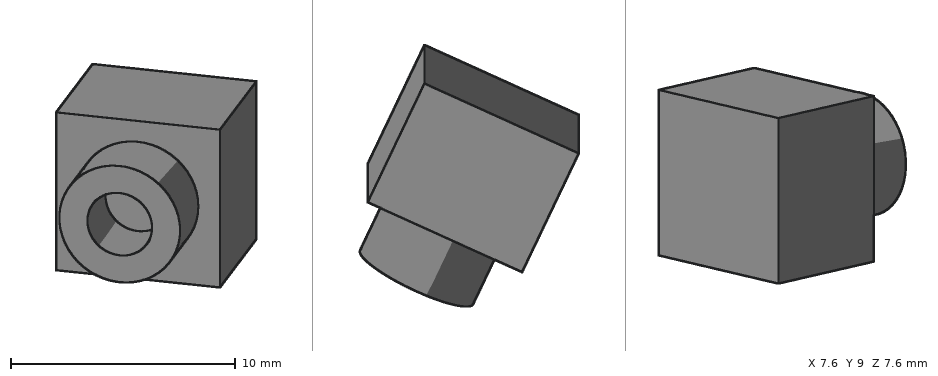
import cadquery as cq

total_length = 9.0
block_side = 7.6
boss_length = 3.0
boss_diameter = 5.6
bore_diameter = 3.0
bore_depth = boss_length

block_length = total_length - boss_length

block = cq.Workplane("XZ").rect(block_side, block_side).extrude(-block_length)

boss = cq.Workplane("XZ").circle(boss_diameter / 2).extrude(boss_length)

bore = (
    cq.Workplane("XZ", origin=(0, -boss_length, 0))
    .circle(bore_diameter / 2)
    .extrude(-bore_depth)
)

result = block.union(boss).cut(bore)